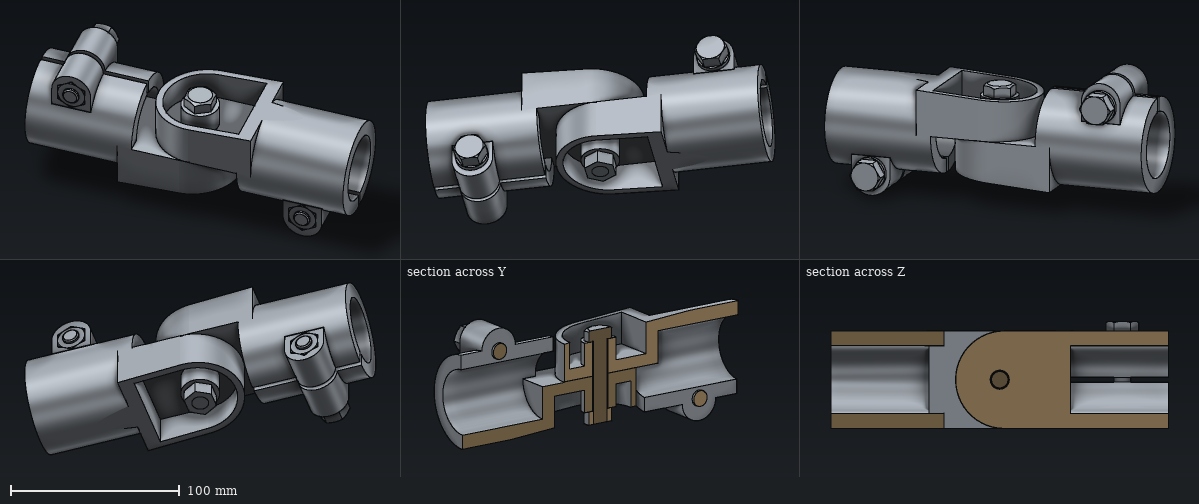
import cadquery as cq
import math


length = 200.0
barrel_radius = 29.0
bore_radius = 20.0
barrel_start = 33.0
slit_width = 2.8

lug_end = 42.0
lug_arc_x = 2.8
lug_wall = 4.2
lug_tip_height = 23.5
slope_end_x = 64.8
pocket_floor = 7.5

boss_diameter = 23.0
boss_top = 21.5
pivot_hole_diameter = 11.0
bolt_diameter = 10.0
pivot_head_top = 28.5
pivot_nut_end = -29.8
head_chamfer_diameter = 14.5

hex_corners = 19.5
twelfth_turn = 30.0
hex_flats = hex_corners * math.cos(math.radians(twelfth_turn))
chamfer_angle = 30.0

ear_x = 72.5
ear_radius = 12.2
ear_arc_z = -28.8
ear_inner_z = -16.8
ear_half_width = 24.0
screw_z = -27.0
washer_thickness = 2.5
screw_head_top = 34.5
screw_tip_y = -26.0
screw_tip_diameter = 8.5
screw_tip_chamfer = (bolt_diameter - screw_tip_diameter) / 2


def cylinder_x(radius, start, end):
    """Cylinder on the X axis whose seam faces -Z, where the slit is cut."""
    cylinder = cq.Workplane("YZ", origin=(start, 0, 0)).circle(radius).extrude(end - start)
    return cylinder.rotate((0, 0, 0), (1, 0, 0), -90)


def lug_outline(radius, end, base_z):
    """D-shaped outline: a half circle towards -X and straight sides up to the given end."""
    return (
        cq.Workplane("XY", origin=(0, 0, base_z))
        .moveTo(lug_arc_x, -radius)
        .lineTo(end, -radius)
        .lineTo(end, radius)
        .lineTo(lug_arc_x, radius)
        .threePointArc((lug_arc_x - radius, 0), (lug_arc_x, -radius))
        .close()
    )


def hexagon(height):
    """Hexagonal prism standing on Z = 0 with two corners on the Y axis."""
    prism = cq.Workplane("XY").polygon(6, hex_corners).extrude(height)
    return prism.rotate((0, 0, 0), (0, 0, 1), twelfth_turn)


def chamfered_hexagon(height, chamfer_diameter):
    """Hexagonal prism whose upper corners are turned off by a cone."""
    top_radius = chamfer_diameter / 2
    corner_radius = hex_corners / 2
    drop = (corner_radius - top_radius) * math.tan(math.radians(chamfer_angle))
    turned_blank = (
        cq.Workplane("XZ")
        .moveTo(0, 0)
        .lineTo(corner_radius, 0)
        .lineTo(corner_radius, height - drop)
        .lineTo(top_radius, height)
        .lineTo(0, height)
        .close()
        .revolve(360, (0, 0, 0), (0, 1, 0))
    )
    return hexagon(height).intersect(turned_blank)


def onto_screw_axis(fastener, y, towards_minus_y=False):
    """Lay a fastener built along +Z on the clamp screw axis with its base at the given Y."""
    turn = 90 if towards_minus_y else -90
    return fastener.rotate((0, 0, 0), (1, 0, 0), turn).translate((ear_x, y, screw_z))


def barrel_and_lug():
    half_length = length / 2
    body = cylinder_x(barrel_radius, barrel_start, half_length)
    body = body.union(lug_outline(barrel_radius, lug_end, 0).extrude(barrel_radius))
    bore = cylinder_x(bore_radius, lug_end, half_length)
    below_lug = cq.Workplane("XY").box(length, length, length).translate((0, 0, -length / 2))
    lower_bore = cylinder_x(bore_radius, barrel_start, lug_end).intersect(below_lug)
    return body.cut(bore).cut(lower_bore)


def slope_cutter():
    """Wedge that slopes the lug top from its tip up to the top of the barrel."""
    tip_x = lug_arc_x - barrel_radius
    return (
        cq.Workplane("XZ")
        .polyline([(tip_x, lug_tip_height), (slope_end_x, barrel_radius), (tip_x, barrel_radius)])
        .close()
        .extrude(barrel_radius, both=True)
    )


def clamp_ear():
    ear = (
        cq.Workplane("XZ", origin=(ear_x, 0, 0))
        .moveTo(-ear_radius, ear_inner_z)
        .lineTo(-ear_radius, ear_arc_z)
        .threePointArc((0, ear_arc_z - ear_radius), (ear_radius, ear_arc_z))
        .lineTo(ear_radius, ear_inner_z)
        .close()
        .extrude(ear_half_width, both=True)
    )
    return ear.cut(cylinder_x(bore_radius, barrel_start, length / 2))


def clamp_slit():
    slit_depth = barrel_radius + 2 * ear_radius
    slit = cq.Workplane("XY").box(length, slit_width, slit_depth, centered=(False, True, False))
    return slit.translate((barrel_start, 0, -slit_depth))


def nut_corner_relief():
    """Slivers between the hexagonal nut recess and the chamfered nut that sits flush in it."""
    nut_height = hex_corners / 2
    relief = hexagon(nut_height).cut(chamfered_hexagon(nut_height, hex_flats))
    return onto_screw_axis(relief, nut_height - ear_half_width, towards_minus_y=True)


def clamp_screw():
    head_base = ear_half_width + washer_thickness
    washer = cq.Workplane("XY").circle(hex_corners / 2).extrude(washer_thickness)
    head = chamfered_hexagon(screw_head_top - head_base, hex_flats).rotate((0, 0, 0), (0, 0, 1), twelfth_turn)
    shank = (
        cq.Workplane("XY")
        .circle(bolt_diameter / 2)
        .extrude(ear_half_width - screw_tip_y)
        .faces("<Z")
        .chamfer(screw_tip_chamfer)
    )
    screw = onto_screw_axis(shank, screw_tip_y)
    screw = screw.union(onto_screw_axis(washer, ear_half_width))
    return screw.union(onto_screw_axis(head, head_base))


def clamp_half():
    """The half whose barrel points towards +X and whose lug lies above Z = 0."""
    half = barrel_and_lug().cut(slope_cutter())
    half = half.cut(lug_outline(barrel_radius - lug_wall, barrel_start, pocket_floor).extrude(barrel_radius))
    half = half.union(cq.Workplane("XY").circle(boss_diameter / 2).extrude(boss_top))
    half = half.cut(cq.Workplane("XY").circle(pivot_hole_diameter / 2).extrude(boss_top))
    half = half.union(clamp_ear()).cut(clamp_slit()).cut(nut_corner_relief())
    return half.union(clamp_screw())


def pivot_bolt():
    head = chamfered_hexagon(pivot_head_top - boss_top, head_chamfer_diameter).translate((0, 0, boss_top))
    shank = (
        cq.Workplane("XY", origin=(0, 0, pivot_nut_end))
        .circle(bolt_diameter / 2)
        .extrude(boss_top - pivot_nut_end)
    )
    return head.union(shank)


def pivot_nut():
    nut_height = -boss_top - pivot_nut_end
    nut = hexagon(nut_height).cut(cq.Workplane("XY").circle(bolt_diameter / 2).extrude(nut_height))
    return nut.translate((0, 0, pivot_nut_end))


half_turns = (0, 180)
halves = [clamp_half().rotate((0, 0, 0), (0, 1, 0), turn).val() for turn in half_turns]

result = cq.Compound.makeCompound([*halves, pivot_bolt().val(), pivot_nut().val()])